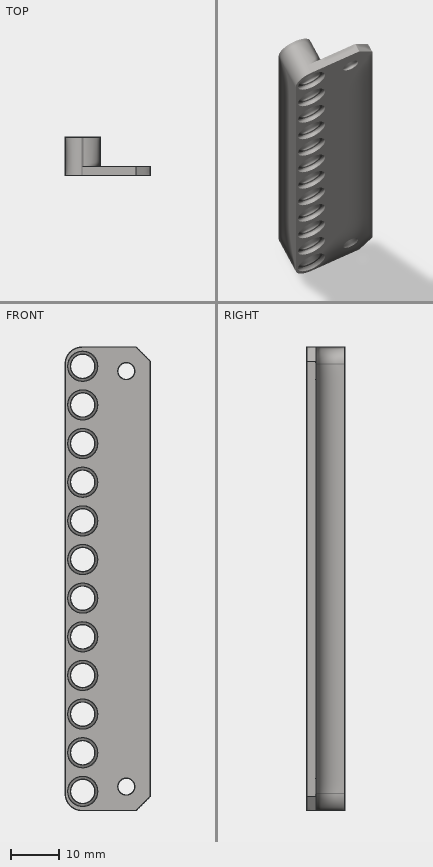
import cadquery as cq

length = 96.0
plate_width = 17.7
beam_depth = 8.0

beam_width = 7.3
beam_corner_radius = 3.6
hole_count = 12
hole_pitch = length / hole_count
hole_diameter = 5.0
counterbore_diameter = 6.2
counterbore_depth = 1.0

flange_thickness = 1.9
flange_chamfer = 3.0
mount_hole_diameter = 3.5
mount_hole_x = 12.7
mount_hole_end_distance = 5.0


def make_beam():
    """Upright bar from y = 0 to y = beam_depth, with rounded corners."""
    bar = cq.Workplane("XY").box(beam_width, beam_depth, length, centered=(False, False, True))
    return bar.edges("|Y").fillet(beam_corner_radius)


def make_flange():
    """Thin plate flush with the front of the beam, chamfered at its free corners."""
    start_x = beam_width / 2
    plate = (
        cq.Workplane("XY")
        .box(plate_width - start_x, flange_thickness, length, centered=(False, False, True))
        .translate((start_x, 0, 0))
    )
    return plate.edges("|Y and >X").chamfer(flange_chamfer)


def bore(x, z, diameter, depth):
    """Cylinder running along +Y from the front face."""
    return cq.Workplane("XZ", origin=(x, 0, z)).circle(diameter / 2).extrude(-depth)


result = make_beam().union(make_flange())

for index in range(hole_count):
    hole_z = (index - (hole_count - 1) / 2) * hole_pitch
    result = result.cut(bore(beam_width / 2, hole_z, hole_diameter, beam_depth))
    result = result.cut(bore(beam_width / 2, hole_z, counterbore_diameter, counterbore_depth))

for end in (-1, 1):
    mount_hole_z = end * (length / 2 - mount_hole_end_distance)
    result = result.cut(bore(mount_hole_x, mount_hole_z, mount_hole_diameter, flange_thickness))